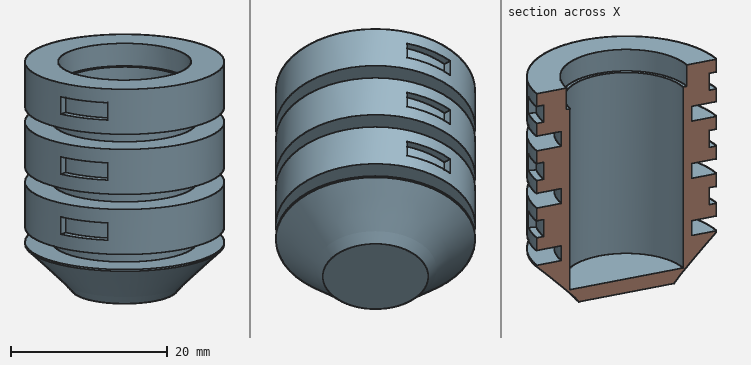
import cadquery as cq
import math

outer_radius = 12.75
total_height = 30.25
ring_height = 6.0
groove_height = 2.0
groove_radius = 9.25
ring_count = 3

tip_radius = 6.75
nose_break_radius = 7.8
nose_break_height = 1.2
rim_height = 0.25

mouth_radius = 8.5
mouth_depth = 3.0
bore_radius = 8.0
floor_thickness = 2.0

recess_height = 2.3
recess_depth = 1.0
recess_angle = 30.0

ring_pitch = ring_height + groove_height
nose_height = total_height - ring_count * ring_pitch


def make_body():
    """Revolve the nose and stack the rings on their groove cores."""
    nose_profile = [
        (0, 0),
        (tip_radius, 0),
        (nose_break_radius, nose_break_height),
        (outer_radius, nose_height - rim_height),
        (outer_radius, nose_height),
        (0, nose_height),
    ]
    body = cq.Workplane("XZ").polyline(nose_profile).close().revolve(360, (0, 0, 0), (0, 1, 0))
    core = cq.Workplane("XY").workplane(offset=nose_height)
    body = body.union(core.circle(groove_radius).extrude(total_height - nose_height))
    for index in range(ring_count):
        ring_top = total_height - index * ring_pitch
        ring = cq.Workplane("XY").workplane(offset=ring_top - ring_height)
        body = body.union(ring.circle(outer_radius).extrude(ring_height))
    return body


def cut_bore(body):
    """Cut the main bore and the wider mouth above it."""
    bore = cq.Workplane("XY").workplane(offset=floor_thickness)
    mouth = cq.Workplane("XY").workplane(offset=total_height - mouth_depth)
    body = body.cut(bore.circle(bore_radius).extrude(total_height - floor_thickness))
    return body.cut(mouth.circle(mouth_radius).extrude(mouth_depth))


def make_recess(center_z, direction):
    """Annular sector with radial ends, centred on the given side (degrees)."""
    floor_radius = outer_radius - recess_depth
    cutter_radius = outer_radius + recess_depth
    start_angle = math.radians(direction - recess_angle / 2)
    middle_angle = math.radians(direction)
    end_angle = math.radians(direction + recess_angle / 2)

    def polar(radius, angle):
        return (radius * math.cos(angle), radius * math.sin(angle))

    return (
        cq.Workplane("XY")
        .workplane(offset=center_z - recess_height / 2)
        .moveTo(*polar(floor_radius, start_angle))
        .lineTo(*polar(cutter_radius, start_angle))
        .threePointArc(polar(cutter_radius, middle_angle), polar(cutter_radius, end_angle))
        .lineTo(*polar(floor_radius, end_angle))
        .threePointArc(polar(floor_radius, middle_angle), polar(floor_radius, start_angle))
        .close()
        .extrude(recess_height)
    )


result = cut_bore(make_body())
for ring_index in range(ring_count):
    ring_center = total_height - ring_height / 2 - ring_index * ring_pitch
    for side_direction in (-90, 90):
        result = result.cut(make_recess(ring_center, side_direction))